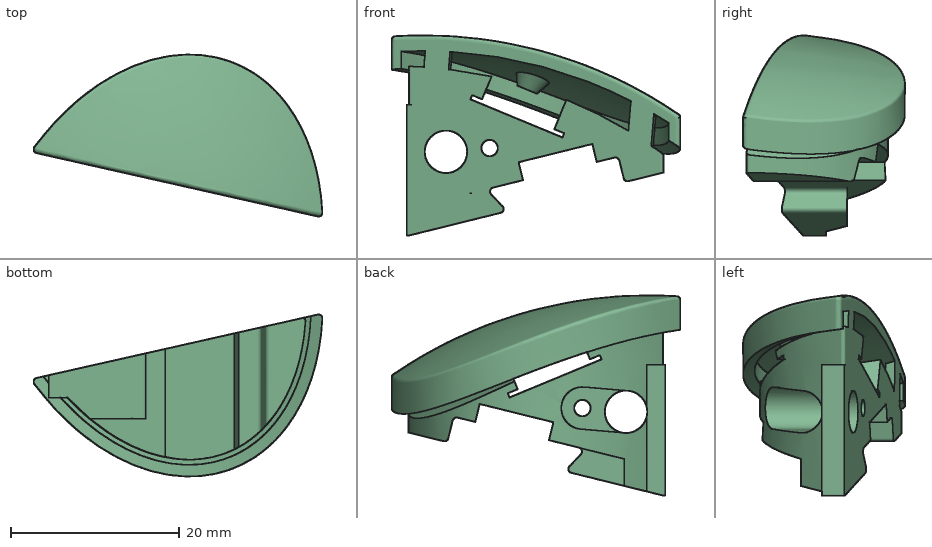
import cadquery as cq
import math

RIM_CENTER = (13.37, -7.95)
RIM_SEMI_MAJOR = 28.22
RIM_SEMI_MINOR = 19.65
RIM_ANGLE = 68.3
FACE_START_Y = 7.6
FACE_ANGLE = -12.7

CROWN_CENTER = (4.1, -6.95, -26.77)
CROWN_AXIS_ANGLE = -76.8
CROWN_RADIUS = 51.6
CROWN_BULGE_RADIUS = 118.23
CROWN_HALF_LENGTH = 34.37

CAP_THICKNESS = 1.92
SKIRT_DROP = 4.0
SKIRT_THICKNESS = 1.4
EDGE_RADIUS = 0.48

BODY_INSET = 2.03
BODY_CORNER_RADIUS = 0.35
LEAN = 4.8
SHOULDER_SHIFT = (-3.1, 0.0, -3.8)

POSTS = [(3.55, 6.5), (28.5, 31.35)]
POST_DEPTH = 1.15
POST_BASE_Z = 16.5
POST_BELOW = 7.55
POST_ABOVE = 6.87

HEEL_X = 1.8
HEEL_BACK_Y = 9.85
HEEL_TOP_Z = 15.65
HEEL_LENGTH = 6.87
HEEL_CORNER_RADIUS = 0.17

BASE_ANGLE = 13.9
STEP_HEIGHT = 3.13
RECESS_HEIGHT = 5.33
HOOK_TIP = 12.35
HOOK_ROOT = 10.55
RECESS_START = 15.05
RECESS_END = 24.05
LEG_START = 26.7
UNDERSIDE_RADIUS = 0.48
HOOK_BACK_Y = 12.37

SLOT_CENTER = (14.85, 14.02)
SLOT_ANGLE = -22.5
SLOT_HALF_WIDTH = 5.9
SLOT_LIP_HEIGHT = 0.5
THROAT_HALF_WIDTH = 4.65
THROAT_HEIGHT = 5.15

BORE = (6.45, 10.05, 2.5)
PIN_HOLE = (11.65, 10.5, 0.95)
POCKET_FLOOR_Y = 7.45

STUD_TIP = (16.12, 13.23, 17.43)
STUD_TIP_RADIUS = 1.27
STUD_HALF_ANGLE = 27.0
STUD_LENGTH = 3.78

SPAN = 103.1


def face_point(distance, depth=0.0):
    """Plan position measured from x = 0 along the front face, and back from it."""
    angle = math.radians(FACE_ANGLE)
    x = distance * math.cos(angle) - depth * math.sin(angle)
    y = FACE_START_Y + distance * math.sin(angle) + depth * math.cos(angle)
    return x, y


def leaning_rise(height, lean):
    """Upward vector tipped sideways along the front face."""
    shift = height * math.tan(math.radians(lean))
    angle = math.radians(FACE_ANGLE)
    return cq.Vector(shift * math.cos(angle), shift * math.sin(angle), height)


def ellipse_crossings(semi_major, semi_minor):
    """Ellipse parameters, in degrees, of the two points on the front face (right, left)."""
    turn = math.radians(FACE_ANGLE - RIM_ANGLE)
    start_x = -RIM_CENTER[0]
    start_y = FACE_START_Y - RIM_CENTER[1]
    axis = math.radians(RIM_ANGLE)
    px = (start_x * math.cos(axis) + start_y * math.sin(axis)) / semi_major
    py = (start_y * math.cos(axis) - start_x * math.sin(axis)) / semi_minor
    normal = math.atan2(math.cos(turn) * semi_minor, -math.sin(turn) * semi_major)
    offset = px * math.cos(normal) + py * math.sin(normal)
    half = math.acos(offset)
    return math.degrees(normal - half), math.degrees(normal + half)


def plan_prism(inset):
    """Tall prism on the plan outline; only its curved side is moved inwards by inset."""
    semi_major = RIM_SEMI_MAJOR - inset
    semi_minor = RIM_SEMI_MINOR - inset
    axis = math.radians(RIM_ANGLE)
    right, left = ellipse_crossings(semi_major, semi_minor)
    rim = cq.Edge.makeEllipse(
        semi_major,
        semi_minor,
        cq.Vector(*RIM_CENTER, 0),
        cq.Vector(0, 0, 1),
        cq.Vector(math.cos(axis), math.sin(axis), 0),
        right,
        left,
    )
    chord = cq.Edge.makeLine(rim.endPoint(), rim.startPoint())
    outline = cq.Wire.assembleEdges([rim, chord])
    return cq.Workplane(cq.Solid.extrudeLinear(outline, [], cq.Vector(0, 0, SPAN)))


def crown(drop=0.0):
    """Solid barrel whose upper side is the crown, lowered by drop."""
    end_angle = math.asin(CROWN_HALF_LENGTH / CROWN_BULGE_RADIUS)
    end_radius = CROWN_RADIUS - CROWN_BULGE_RADIUS * (1 - math.cos(end_angle))
    x, y, z = CROWN_CENTER
    return (
        cq.Workplane("XY")
        .moveTo(-CROWN_HALF_LENGTH, 0)
        .lineTo(-CROWN_HALF_LENGTH, end_radius)
        .threePointArc((0, CROWN_RADIUS), (CROWN_HALF_LENGTH, end_radius))
        .lineTo(CROWN_HALF_LENGTH, 0)
        .close()
        .revolve(360, (0, 0, 0), (1, 0, 0))
        .rotate((0, 0, 0), (1, 0, 0), -90)
        .rotate((0, 0, 0), (0, 0, 1), CROWN_AXIS_ANGLE)
        .translate((x, y, z - drop))
    )


def make_cap():
    slab = plan_prism(0).intersect(crown())
    slab = slab.edges("not <Z").fillet(EDGE_RADIUS)
    slab = slab.cut(crown(SKIRT_DROP))
    return slab.cut(plan_prism(SKIRT_THICKNESS).intersect(crown(CAP_THICKNESS)))


def make_post(left, right):
    """Post with both sides leaning along the front face."""
    tilt = math.tan(math.radians(LEAN))
    stretch = 1 / math.cos(math.radians(FACE_ANGLE))
    low_left = left * stretch - POST_BELOW * tilt
    low_right = right * stretch - POST_BELOW * tilt
    corners = [
        face_point(low_left),
        face_point(low_right),
        face_point(low_right, POST_DEPTH),
        face_point(low_left, POST_DEPTH),
    ]
    height = POST_BELOW + POST_ABOVE
    base = cq.Wire.makePolygon([cq.Vector(x, y, POST_BASE_Z - POST_BELOW) for x, y in corners], close=True)
    post = cq.Solid.extrudeLinear(base, [], leaning_rise(height, LEAN))
    return cq.Workplane(post).intersect(crown(CAP_THICKNESS / 2))


def make_heel():
    front_left = face_point(HEEL_X / math.cos(math.radians(FACE_ANGLE)))
    front_right = face_point((HEEL_X + HEEL_LENGTH) / math.cos(math.radians(FACE_ANGLE)))
    return (
        cq.Workplane("XY")
        .polyline([front_left, front_right, (front_right[0], HEEL_BACK_Y), (HEEL_X, HEEL_BACK_Y)])
        .close()
        .extrude(HEEL_TOP_Z)
    )


def underside_edge(along, above):
    """Selector for the edge of the underside at a position measured from the base line."""
    angle = math.radians(BASE_ANGLE)
    x = HEEL_X + along * math.cos(angle) - above * math.sin(angle)
    z = along * math.sin(angle) + above * math.cos(angle)
    return cq.selectors.NearestToPointSelector((x, 0, z))


def underside():
    """Region kept above the stepped underside."""
    profile = (
        cq.Workplane("XZ", origin=(HEEL_X, 0, 0))
        .transformed(rotate=(0, 0, BASE_ANGLE))
        .polyline([
            (-SPAN, 0),
            (HOOK_TIP, 0),
            (HOOK_ROOT, STEP_HEIGHT),
            (RECESS_START, STEP_HEIGHT),
            (RECESS_START, RECESS_HEIGHT),
            (RECESS_END, RECESS_HEIGHT),
            (RECESS_END, STEP_HEIGHT),
            (LEG_START, STEP_HEIGHT),
            (LEG_START, 0),
            (SPAN, 0),
            (SPAN, SPAN),
            (-SPAN, SPAN),
        ])
        .close()
        .extrude(SPAN, both=True)
    )
    rounded = [
        (HOOK_TIP, 0),
        (HOOK_ROOT, STEP_HEIGHT),
        (LEG_START, STEP_HEIGHT),
        (LEG_START, 0),
    ]
    for along, above in rounded:
        profile = profile.edges(underside_edge(along, above)).fillet(UNDERSIDE_RADIUS)
    return profile


def make_body():
    x, y, z = CROWN_CENTER
    shoulder = crown().rotate((x, y, z), (x, y + 0.35, z), LEAN).translate(SHOULDER_SHIFT)
    body = plan_prism(BODY_INSET).edges("|Z").fillet(BODY_CORNER_RADIUS)
    body = body.intersect(shoulder)
    body = body.union(make_heel()).intersect(underside())
    heel_edge = cq.selectors.NearestToPointSelector((HEEL_X, (FACE_START_Y + HEEL_BACK_Y) / 2, 0))
    return body.edges(heel_edge).fillet(HEEL_CORNER_RADIUS)


def make_slot():
    return (
        cq.Workplane("XZ", origin=(SLOT_CENTER[0], 0, SLOT_CENTER[1]))
        .transformed(rotate=(0, 0, SLOT_ANGLE))
        .polyline([
            (-SLOT_HALF_WIDTH, 0),
            (SLOT_HALF_WIDTH, 0),
            (SLOT_HALF_WIDTH, SLOT_LIP_HEIGHT),
            (THROAT_HALF_WIDTH, SLOT_LIP_HEIGHT),
            (THROAT_HALF_WIDTH, THROAT_HEIGHT),
            (-THROAT_HALF_WIDTH, THROAT_HEIGHT),
            (-THROAT_HALF_WIDTH, SLOT_LIP_HEIGHT),
            (-SLOT_HALF_WIDTH, SLOT_LIP_HEIGHT),
        ])
        .close()
        .extrude(SPAN, both=True)
    )


def make_hook_relief():
    """Clears everything below the step behind the hook."""
    return (
        cq.Workplane("XZ", origin=(HEEL_X, HOOK_BACK_Y, 0))
        .transformed(rotate=(0, 0, BASE_ANGLE))
        .rect(2 * RECESS_START, 2 * STEP_HEIGHT)
        .extrude(-SPAN)
    )


def make_holes():
    cutters = cq.Workplane("XZ")
    for x, z, radius in (BORE, PIN_HOLE):
        cutters = cutters.moveTo(x, z).circle(radius)
    return cutters.extrude(SPAN, both=True)


def make_hole_pocket():
    rise = PIN_HOLE[1] - BORE[1]
    run = PIN_HOLE[0] - BORE[0]
    return (
        cq.Workplane("XZ", origin=((BORE[0] + PIN_HOLE[0]) / 2, POCKET_FLOOR_Y, (BORE[1] + PIN_HOLE[1]) / 2))
        .slot2D(math.hypot(run, rise) + 2 * BORE[2], 2 * BORE[2], math.degrees(math.atan2(rise, run)))
        .extrude(-SPAN)
    )


def make_stud():
    base_radius = STUD_TIP_RADIUS + STUD_LENGTH * math.tan(math.radians(STUD_HALF_ANGLE))
    tilt = math.radians(-SLOT_ANGLE)
    stud = cq.Solid.makeCone(
        STUD_TIP_RADIUS,
        base_radius,
        STUD_LENGTH,
        cq.Vector(*STUD_TIP),
        cq.Vector(math.sin(tilt), 0, math.cos(tilt)),
    )
    return cq.Workplane(stud).intersect(crown(CAP_THICKNESS / 2))


body = make_body()
for left, right in POSTS:
    body = body.union(make_post(left, right))
for cutter in (make_slot(), make_hook_relief(), make_holes(), make_hole_pocket()):
    body = body.cut(cutter)
result = make_cap().union(body).union(make_stud())